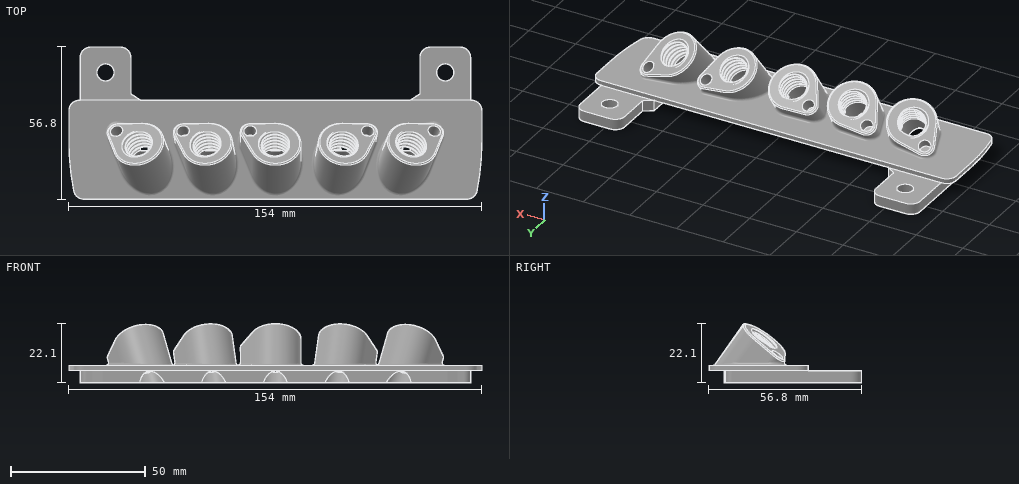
import cadquery as cq
import math

PLATE_LENGTH = 154.0
PLATE_DEPTH = 37.0
PLATE_THICKNESS = 2.0
PLATE_CORNER_RADIUS = 4.0
PLATE_SIDE_CURVE_START = 21.6
PLATE_FRONT_INSET = 2.5

OVERALL_DEPTH = 56.8
FRAME_THICKNESS = 4.5
FRAME_LENGTH = 145.6
BAR_FRONT = 5.6
BAR_BACK = 18.2
ARM_WIDTH = 19.0
ARM_FRONT_SETBACK = 0.5
ARM_FRONT_WIDTH = 4.8
FRONT_STEP_WIDTH = 3.75
ARM_FRONT_RADIUS = 2.5
TAB_CORNER_RADIUS = 4.0
TAB_HOLE_DIAMETER = 6.3
GUSSET_WIDTH = 3.6
GUSSET_RISE = 2.3
GUSSET_BACK = 39.3

SOCKET_COUNT = 5
SOCKET_PITCH = 23.2
SOCKET_AXIS_Y = 9.0
SOCKET_TILT = 35.0
FAN_STEP = 8.0
SOCKET_RADIUS = 9.55
SOCKET_HEIGHT = 22.09
RIM_CHAMFER = 0.5
BASE_FILLET = 1.0
LUG_OFFSET_X = 9.4
LUG_OFFSET_Y = 5.65
LUG_RADIUS = 3.7
LUG_HOLE_DIAMETER = 4.7
LUG_HOLE_DEPTH = 6.0
BORE_DIAMETER = 10.58
THREAD_MAJOR_DIAMETER = 12.7
THREAD_PITCH = 25.4 / 13
THREAD_LENGTH = 11.0
THREAD_CREST_FLAT = THREAD_PITCH / 8
THREAD_ROOT_FLAT = THREAD_PITCH / 8
THREAD_OVERLAP = 0.2

PLATE_TOP = FRAME_THICKNESS + PLATE_THICKNESS
TILT = math.radians(SOCKET_TILT)
SOCKET_LENGTH = (
    SOCKET_HEIGHT - (SOCKET_RADIUS - RIM_CHAMFER) * math.sin(TILT)
) / math.cos(TILT)


def make_plate():
    half = PLATE_LENGTH / 2
    front_half = half - PLATE_FRONT_INSET
    plate = (
        cq.Workplane("XY", origin=(0, 0, FRAME_THICKNESS))
        .moveTo(half, PLATE_DEPTH)
        .lineTo(-half, PLATE_DEPTH)
        .lineTo(-half, PLATE_SIDE_CURVE_START)
        .tangentArcPoint((-front_half, 0), relative=False)
        .lineTo(front_half, 0)
        .threePointArc(side_curve_middle(), (half, PLATE_SIDE_CURVE_START))
        .close()
        .extrude(PLATE_THICKNESS)
    )
    corners = plate.edges("|Z").edges("<Y or >Y")
    return corners.fillet(PLATE_CORNER_RADIUS)


def side_curve_middle():
    """Midpoint of the right side's curve, an arc tangent to the straight part of the side."""
    radius = (PLATE_SIDE_CURVE_START**2 + PLATE_FRONT_INSET**2) / (2 * PLATE_FRONT_INSET)
    half_angle = math.asin(PLATE_SIDE_CURVE_START / radius) / 2
    x = PLATE_LENGTH / 2 - radius * (1 - math.cos(half_angle))
    y = PLATE_SIDE_CURVE_START - radius * math.sin(half_angle)
    return x, y


def make_left_frame():
    """Left half of the frame: half of the front bar, one arm and its mounting hole."""
    outer = -FRAME_LENGTH / 2
    inner = outer + ARM_WIDTH
    arm_front = BAR_FRONT + ARM_FRONT_SETBACK
    step_start = outer + ARM_FRONT_WIDTH
    half = (
        cq.Workplane("XY")
        .moveTo(0, BAR_FRONT)
        .lineTo(step_start + FRONT_STEP_WIDTH, BAR_FRONT)
        .lineTo(step_start, arm_front)
        .lineTo(outer, arm_front)
        .lineTo(outer, OVERALL_DEPTH)
        .lineTo(inner, OVERALL_DEPTH)
        .lineTo(inner, GUSSET_BACK)
        .lineTo(inner + GUSSET_WIDTH, GUSSET_BACK - GUSSET_RISE)
        .lineTo(inner + GUSSET_WIDTH, BAR_BACK)
        .lineTo(0, BAR_BACK)
        .close()
        .extrude(FRAME_THICKNESS)
    )
    half = half.edges("|Z").edges(">Y").fillet(TAB_CORNER_RADIUS)
    front_corner = cq.NearestToPointSelector((outer, arm_front, FRAME_THICKNESS / 2))
    half = half.edges(front_corner).fillet(ARM_FRONT_RADIUS)
    hole = (
        cq.Workplane("XY")
        .center(outer + ARM_WIDTH / 2, OVERALL_DEPTH - ARM_WIDTH / 2)
        .circle(TAB_HOLE_DIAMETER / 2)
        .extrude(FRAME_THICKNESS)
    )
    return half.cut(hole)


def place_socket(shape, index):
    """Stand a shape modelled along Z on socket `index`: lean it back, fan it out and move it."""
    leaned = shape.rotate((0, 0, 0), (1, 0, 0), -SOCKET_TILT)
    fanned = leaned.rotate((0, 0, 0), (0, 1, 0), index * FAN_STEP)
    return fanned.translate((index * SOCKET_PITCH, SOCKET_AXIS_Y, 0))


def lug_position(side):
    return side * LUG_OFFSET_X, LUG_OFFSET_Y


def make_socket_body(side):
    """Teardrop column: the socket circle and the lug circle joined by their two outer tangents."""
    lug_x, lug_y = lug_position(side)
    distance = math.hypot(lug_x, lug_y)
    toward_lug = math.atan2(lug_y, lug_x)
    spread = math.acos((SOCKET_RADIUS - LUG_RADIUS) / distance)

    def on_body(angle):
        return SOCKET_RADIUS * math.cos(angle), SOCKET_RADIUS * math.sin(angle)

    def on_lug(angle):
        return lug_x + LUG_RADIUS * math.cos(angle), lug_y + LUG_RADIUS * math.sin(angle)

    first = toward_lug - spread
    second = toward_lug + spread
    column = (
        cq.Workplane("XY", origin=(0, 0, -SOCKET_RADIUS))
        .moveTo(*on_body(first))
        .lineTo(*on_lug(first))
        .threePointArc(on_lug(toward_lug), on_lug(second))
        .lineTo(*on_body(second))
        .threePointArc(on_body(toward_lug + math.pi), on_body(first))
        .close()
        .extrude(SOCKET_LENGTH + SOCKET_RADIUS)
    )
    return column.faces(">Z").chamfer(RIM_CHAMFER)


def make_bore():
    """Cylinder along the whole socket axis, running out past both ends."""
    overrun = 2 * SOCKET_RADIUS
    return (
        cq.Workplane("XY", origin=(0, 0, -overrun))
        .circle(BORE_DIAMETER / 2)
        .extrude(SOCKET_LENGTH + 2 * overrun)
    )


def make_thread_groove():
    """Helical groove of trapezoid section that runs out through the socket face."""
    minor = BORE_DIAMETER / 2
    major = THREAD_MAJOR_DIAMETER / 2
    bottom = SOCKET_LENGTH - THREAD_LENGTH
    helix_height = THREAD_LENGTH + THREAD_PITCH
    helix = cq.Wire.makeHelix(THREAD_PITCH, helix_height, minor, center=cq.Vector(0, 0, bottom))
    half_mouth = (THREAD_PITCH - THREAD_CREST_FLAT) / 2
    half_root = THREAD_ROOT_FLAT / 2
    section = (
        cq.Workplane("XZ", origin=(0, 0, bottom))
        .moveTo(minor - THREAD_OVERLAP, -half_mouth)
        .lineTo(major, -half_root)
        .lineTo(major, half_root)
        .lineTo(minor - THREAD_OVERLAP, half_mouth)
        .close()
    )
    return section.sweep(cq.Workplane(helix), isFrenet=True)


def make_lug_hole(side):
    return (
        cq.Workplane("XY", origin=(0, 0, SOCKET_LENGTH - LUG_HOLE_DEPTH))
        .center(*lug_position(side))
        .circle(LUG_HOLE_DIAMETER / 2)
        .extrude(LUG_HOLE_DEPTH)
    )


def add_socket(plate, index, side):
    """Plate with socket `index` standing on it and its foot blended into the plate."""
    above_plate = (
        cq.Workplane("XY", origin=(0, 0, PLATE_TOP))
        .rect(2 * PLATE_LENGTH, 2 * OVERALL_DEPTH)
        .extrude(2 * SOCKET_HEIGHT)
    )
    body = place_socket(make_socket_body(side), index).intersect(above_plate)
    margin = 0.01
    foot_zone = cq.selectors.BoxSelector(
        (-PLATE_LENGTH / 2 + margin, margin, PLATE_TOP - margin),
        (PLATE_LENGTH / 2 - margin, PLATE_DEPTH - margin, PLATE_TOP + margin),
        boundingbox=True,
    )
    return plate.union(body).edges(foot_zone).fillet(BASE_FILLET)


plate = make_plate()
left_frame = make_left_frame()
part = plate.union(left_frame).union(left_frame.mirror("YZ"))

first_index = -(SOCKET_COUNT // 2)
sockets = [(index, 1 if index > 0 else -1) for index in range(first_index, first_index + SOCKET_COUNT)]

for index, side in sockets:
    part = part.union(add_socket(plate, index, side))

threaded_bore = make_bore().union(make_thread_groove())
for index, side in sockets:
    part = part.cut(place_socket(threaded_bore, index))
    part = part.cut(place_socket(make_lug_hole(side), index))

result = part